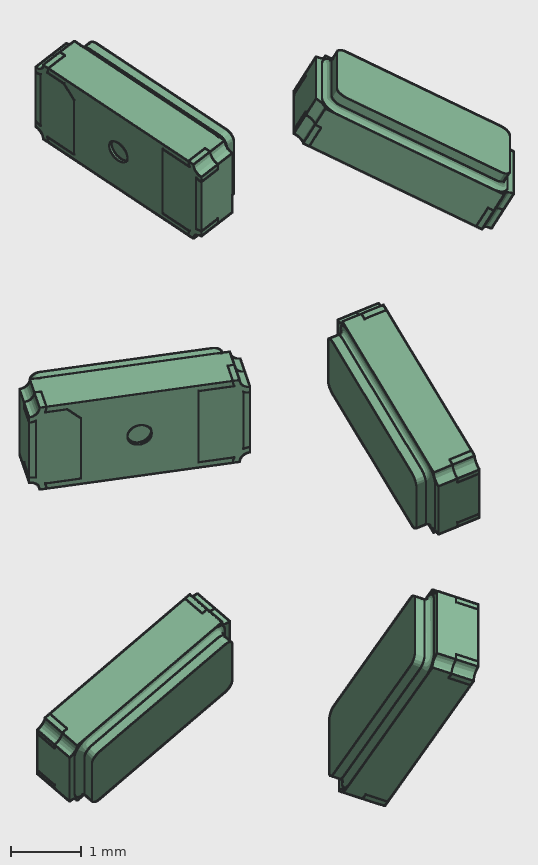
import cadquery as cq

LENGTH = 3.2
HEIGHT = 1.5
BASE_DEPTH = 0.65
NOTCH_RADIUS = 0.15

RECESS_DIAMETER = 0.352
RECESS_DEPTH = 0.05

PAD_INSET = 0.1
PAD_INNER_EDGE = 0.75
PAD_CHAMFER = 0.2
ELECTRODE_DEPTH = 0.35
CORNER_RADIUS = NOTCH_RADIUS + PAD_INSET

SEAL_THICKNESS = 0.1
LID_THICKNESS = 0.15
LID_LENGTH = LENGTH - 4 * SEAL_THICKNESS
LID_HEIGHT = HEIGHT - 2 * SEAL_THICKNESS
LID_CORNER_RADIUS = 0.15

END_X = LENGTH / 2
TOP_Z = HEIGHT / 2
SEAL_Y = BASE_DEPTH
LID_Y = SEAL_Y + SEAL_THICKNESS


def plane_at(y):
    """XZ sketch plane at depth y; negative extrusions run toward +Y."""
    return cq.Workplane(cq.Plane(origin=(0, y, 0), xDir=(1, 0, 0), normal=(0, -1, 0)))


def block(y, length, height, depth):
    """Centred block reaching from y to y + depth."""
    return plane_at(y).rect(length, height).extrude(-depth)


def corner_cylinders(radius, corners, depth):
    """Cylinders standing on the given corners of the front face."""
    return plane_at(0).pushPoints(corners).circle(radius).extrude(-depth)


def make_base_blank():
    """Base block with a quarter-round notch along each corner edge."""
    corners = [(x, z) for x in (-END_X, END_X) for z in (-TOP_Z, TOP_Z)]
    notches = corner_cylinders(NOTCH_RADIUS, corners, BASE_DEPTH)
    return block(0, LENGTH, HEIGHT, BASE_DEPTH).cut(notches)


def make_electrode(base_blank, side, chamfered):
    """Electrode at the -X (side = -1) or +X (side = 1) end."""
    outer_x = side * (END_X - PAD_INSET)
    inner_x = side * (END_X - PAD_INNER_EDGE)
    pad_top = TOP_Z - PAD_INSET
    chamfer = PAD_CHAMFER if chamfered else 0
    outline = [(outer_x, pad_top), (outer_x, -pad_top), (inner_x, -pad_top), (inner_x, pad_top - chamfer)]
    if chamfered:
        outline.append((inner_x + side * chamfer, pad_top))
    pad = plane_at(0).polyline(outline).close().extrude(-ELECTRODE_DEPTH)

    end_corners = [(side * END_X, -TOP_Z), (side * END_X, TOP_Z)]
    corners = corner_cylinders(CORNER_RADIUS, end_corners, ELECTRODE_DEPTH)
    return pad.union(corners).intersect(base_blank)


def make_base(base_blank, electrodes):
    """Base with the recess and a matching pocket for every electrode."""
    base = base_blank.cut(plane_at(0).circle(RECESS_DIAMETER / 2).extrude(-RECESS_DEPTH))
    for electrode in electrodes:
        base = base.cut(electrode)
    return base


def lid_block(y, thickness):
    """Plate with the lid's rounded outline."""
    return block(y, LID_LENGTH, LID_HEIGHT, thickness).edges("|Y").fillet(LID_CORNER_RADIUS)


def make_seal():
    """Solid layer under the lid, flaring out in a concave round to meet the base."""
    slab = block(0, 2 * LENGTH, 2 * HEIGHT, BASE_DEPTH)
    core = lid_block(SEAL_Y, SEAL_THICKNESS + LID_THICKNESS)
    foot_edges = cq.selectors.BoxSelector(
        (-END_X, SEAL_Y - SEAL_THICKNESS / 2, -TOP_Z),
        (END_X, SEAL_Y + SEAL_THICKNESS / 2, TOP_Z),
    )
    flared = slab.union(core).edges("#Y").edges(foot_edges).fillet(SEAL_THICKNESS)
    return flared.intersect(block(SEAL_Y, LENGTH, HEIGHT, SEAL_THICKNESS))


base_blank = make_base_blank()
electrodes = [
    make_electrode(base_blank, side, chamfered)
    for side, chamfered in ((-1, True), (1, False))
]
base = make_base(base_blank, electrodes)
seal = make_seal()
lid = lid_block(LID_Y, LID_THICKNESS)

bodies = [base, seal, lid, *electrodes]
result = cq.Compound.makeCompound([body.solids().val() for body in bodies])